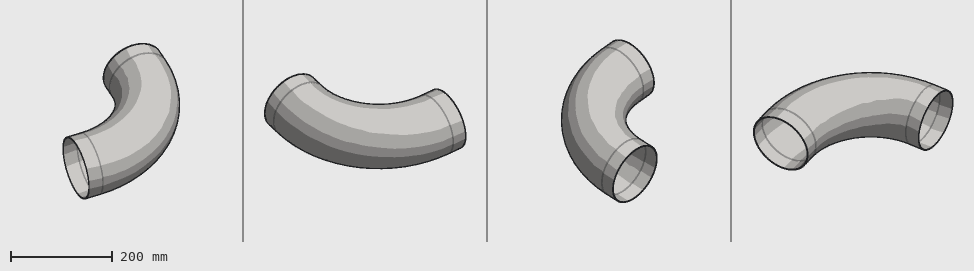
import cadquery as cq
import math

overall_length = 284.0
outer_diameter = 127.0
inner_diameter = 123.0
collar_length = 30.0

bend_radius = overall_length - collar_length - outer_diameter / 2
bend_middle = bend_radius * math.cos(math.radians(45))

centreline = (
    cq.Workplane("XY")
    .moveTo(-collar_length, bend_radius)
    .lineTo(0, bend_radius)
    .threePointArc((bend_middle, bend_middle), (bend_radius, 0))
    .lineTo(bend_radius, -collar_length)
)

result = (
    cq.Workplane("YZ", origin=(-collar_length, bend_radius, 0))
    .circle(outer_diameter / 2)
    .circle(inner_diameter / 2)
    .sweep(centreline)
)